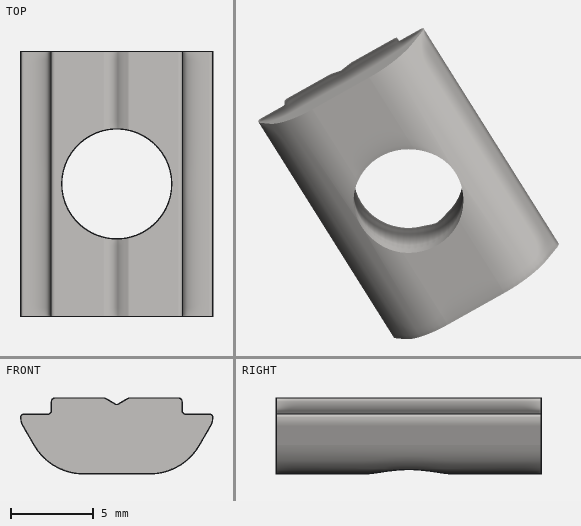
import cadquery as cq
import math

length = 16.0
width = 11.6
height = 4.6
bore_diameter = 6.62

rib_width = 7.9
shelf_height = 3.62
rib_edge_radius = 0.24
rib_root_radius = 0.2

shelf_edge_radius = 0.2
shoulder_radius = 1.0
base_radius = 3.45
flank_angle = math.radians(30)

groove_width = 1.45
groove_angle = math.radians(30)
groove_edge_radius = 0.24
groove_root_radius = 0.16
groove_root_z = height - groove_width / 2 * math.tan(groove_angle)


def point_on_circle(center, radius, angle):
    return (center[0] + radius * math.cos(angle), center[1] + radius * math.sin(angle))


def make_body():
    """Extrude half the profile along Y and mirror it to form the whole body."""
    half_width = width / 2
    half_rib = rib_width / 2

    shoulder_top_z = shelf_height - shelf_edge_radius
    shoulder_center = (half_width - shoulder_radius, shoulder_top_z)
    shoulder_mid = point_on_circle(shoulder_center, shoulder_radius, -flank_angle / 2)
    flank_top = point_on_circle(shoulder_center, shoulder_radius, -flank_angle)

    flank_bottom_z = base_radius * (1 - math.sin(flank_angle))
    flank_bottom_x = flank_top[0] - (flank_top[1] - flank_bottom_z) * math.tan(flank_angle)
    base_center = (flank_bottom_x - base_radius * math.cos(flank_angle), base_radius)
    base_mid = point_on_circle(base_center, base_radius, -(flank_angle + math.pi / 2) / 2)

    shelf_edge_center = (half_width - shelf_edge_radius, shoulder_top_z)
    shelf_edge_mid = point_on_circle(shelf_edge_center, shelf_edge_radius, math.pi / 4)
    right_half = (
        cq.Workplane("XZ", origin=(0, length / 2, 0))
        .lineTo(base_center[0], 0)
        .threePointArc(base_mid, (flank_bottom_x, flank_bottom_z))
        .lineTo(*flank_top)
        .threePointArc(shoulder_mid, (half_width, shoulder_top_z))
        .threePointArc(shelf_edge_mid, (shelf_edge_center[0], shelf_height))
        .lineTo(half_rib, shelf_height)
        .lineTo(half_rib, height)
        .lineTo(0, height)
        .close()
        .extrude(length)
    )
    return right_half.union(right_half.mirror("YZ"))


def cut_groove(body):
    half_groove = groove_width / 2
    groove = (
        cq.Workplane("XZ", origin=(0, length / 2, 0))
        .polyline([(-half_groove, height), (0, groove_root_z), (half_groove, height)])
        .close()
        .extrude(length)
    )
    return body.cut(groove)


def fillet_long_edges(body, x, z, radius):
    """Round the edges running along Y at height z on both sides, at +x and -x."""
    tolerance = 0.02
    box = cq.selectors.BoxSelector
    for side_x in {x, -x}:
        low = (side_x - tolerance, -tolerance, z - tolerance)
        high = (side_x + tolerance, tolerance, z + tolerance)
        body = body.edges("|Y").edges(box(low, high)).fillet(radius)
    return body


result = cut_groove(make_body())
result = fillet_long_edges(result, rib_width / 2, height, rib_edge_radius)
result = fillet_long_edges(result, rib_width / 2, shelf_height, rib_root_radius)
result = fillet_long_edges(result, groove_width / 2, height, groove_edge_radius)
result = fillet_long_edges(result, 0, groove_root_z, groove_root_radius)

bore = cq.Workplane("XY").circle(bore_diameter / 2).extrude(height)
result = result.cut(bore)